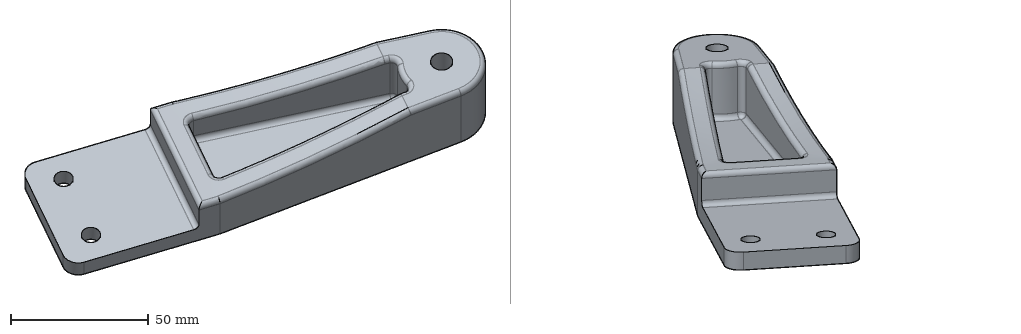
import cadquery as cq
import math

length = 170.7
width = 50.0
height = 28.9
half_width = width / 2

head_radius = 16.0
head_y = length - head_radius
head_hole_diameter = 8.0

foot_thickness = 7.0
foot_corner_radius = 6.0
foot_hole_diameter = 7.0
foot_hole_spacing = 28.0
foot_hole_y = 12.8

step_y = 50.7
step_height = 19.6
taper_start_y = 58.9
head_flat_y = 135.5

wall = 10.0
pocket_floor = 7.0
pocket_start_y = 61.1
pocket_corner_radius = 2.2

edge_radius = 2.0


taper_run = head_y - taper_start_y
corner_distance = math.hypot(half_width, taper_run)
corner_angle = math.atan2(-taper_run, half_width)
tangent_angle = corner_angle + math.acos(head_radius / corner_distance)
tangent_x = head_radius * math.cos(tangent_angle)
tangent_y = head_y + head_radius * math.sin(tangent_angle)


def pocket_half_width(y):
    """Half-width of the pocket, one wall thickness inside the tapered side."""
    offset = (head_radius - wall) - (y - head_y) * math.sin(tangent_angle)
    return offset / math.cos(tangent_angle)


def make_plan(top):
    """Outline seen along Z, extruded to the given height."""
    return (
        cq.Workplane("XY")
        .moveTo(-half_width, 0)
        .lineTo(half_width, 0)
        .lineTo(half_width, taper_start_y)
        .lineTo(tangent_x, tangent_y)
        .threePointArc((0, length), (-tangent_x, tangent_y))
        .lineTo(-half_width, taper_start_y)
        .close()
        .extrude(top)
        .edges("|Z and <Y")
        .fillet(foot_corner_radius)
    )


arc_run = head_flat_y - step_y
arc_rise = height - step_height
arc_radius = (arc_run**2 + arc_rise**2) / (2 * arc_rise)


def slope_height(y):
    """Height of the concave slope, continued past the head flat."""
    return step_height + arc_radius - math.sqrt(arc_radius**2 - (y - step_y)**2)


def make_profile():
    """Side outline of foot, step and slope, with the slope continued to the tip of the head."""
    middle_y = (step_y + length) / 2
    return (
        cq.Workplane("YZ")
        .moveTo(0, 0)
        .lineTo(length, 0)
        .lineTo(length, slope_height(length))
        .threePointArc((middle_y, slope_height(middle_y)), (step_y, step_height))
        .lineTo(step_y, foot_thickness)
        .lineTo(0, foot_thickness)
        .close()
        .extrude(half_width, both=True)
    )


def make_pocket():
    """Tapered pocket whose far end follows a circle concentric with the head."""
    start_x = pocket_half_width(pocket_start_y)
    end_x = pocket_half_width(head_y)
    corners = [(-start_x, pocket_start_y), (start_x, pocket_start_y), (end_x, head_y), (-end_x, head_y)]
    blank = (
        cq.Workplane("XY")
        .workplane(offset=pocket_floor)
        .polyline(corners)
        .close()
        .extrude(2 * height)
    )
    boss = cq.Workplane("XY").center(0, head_y).circle(head_radius).extrude(3 * height)
    pocket = blank.cut(boss)
    return pocket.edges("|Z").fillet(pocket_corner_radius).faces("<Z").edges().fillet(edge_radius)


def cut_and_round(body):
    """Cut the pocket, then round the upper rim and the pocket mouth."""
    middle_z = (step_height + foot_thickness) / 2
    top_zone = cq.selectors.BoxSelector((-width, 0, middle_z), (width, 2 * length, 2 * height))
    upright = cq.selectors.ParallelDirSelector(cq.Vector(0, 0, 1))
    return body.cut(make_pocket()).edges(top_zone - upright).fillet(edge_radius)


def fill_step_corner(body):
    """Round the inside corner between the foot and the step."""
    corner = cq.selectors.NearestToPointSelector((0, step_y, foot_thickness))
    return body.edges(corner).fillet(edge_radius)


def drill(body, points, diameter):
    holes = cq.Workplane("XY").pushPoints(points).circle(diameter / 2).extrude(height)
    return body.cut(holes)


flat_body = cut_and_round(make_plan(height))
slope_body = cut_and_round(make_plan(slope_height(length)).intersect(make_profile()))
result = fill_step_corner(flat_body.intersect(slope_body))
result = drill(result, [(0, head_y)], head_hole_diameter)
foot_holes = [(side * foot_hole_spacing / 2, foot_hole_y) for side in (-1, 1)]
result = drill(result, foot_holes, foot_hole_diameter)